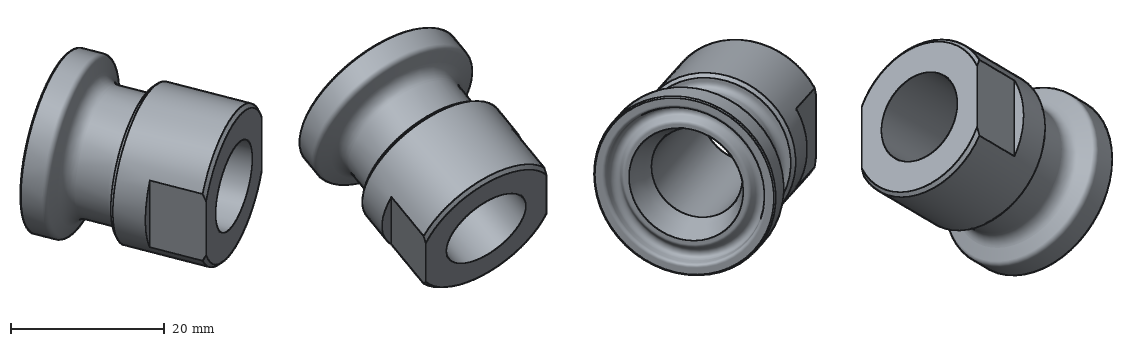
import cadquery as cq
import math

length = 25.0
flange_radius = 12.5
neck_radius = 9.0
body_radius = 11.0
body_start = 12.0
body_chamfer = 0.5
neck_end_fillet = 1.0

rim_end = 3.25
rim_front_chamfer = 0.2
rim_back_fillet = 0.75
taper_angle = math.radians(20)
taper_fillet = 2.0
taper_fillet_end = 6.4

outer_edge_radius = 11.35
outer_edge_fillet = 0.5
bottom_radius = 9.95
bottom_depth = 1.0
bottom_fillet = 0.8
lip_outer_radius = 8.4
lip_fillet = 0.6
lip_recess = 0.7

entry_radius = 7.85
bore_radius = 6.25
entry_depth = 5.0

flat_start = 17.08
flat_offset = 9.5


def arc_point(center, radius, angle):
    """Point on a circle, with the angle measured from +X."""
    return (center[0] + radius * math.cos(angle), center[1] + radius * math.sin(angle))


def cross_tangent_angle(start, start_radius, end, end_radius, side):
    """Normal angle, at the start circle, of the line that crosses between two circles."""
    across = end[0] - start[0]
    up = end[1] - start[1]
    lean = math.acos((start_radius + end_radius) / math.hypot(across, up))
    return math.atan2(up, across) + side * lean


def make_outside():
    half_turn = math.pi
    rim_center = (rim_end, flange_radius - rim_back_fillet)
    rim_middle_angle = (math.pi / 2 + taper_angle) / 2
    fillet_center = (taper_fillet_end, neck_radius + taper_fillet)
    fillet_start_angle = half_turn + taper_angle
    fillet_middle_angle = (fillet_start_angle + 1.5 * half_turn) / 2
    neck_end = body_start - neck_end_fillet
    end_center = (neck_end, neck_radius + neck_end_fillet)
    profile = (
        cq.Workplane("XY")
        .moveTo(0, 0)
        .lineTo(0, flange_radius - rim_front_chamfer)
        .lineTo(rim_front_chamfer, flange_radius)
        .lineTo(rim_end, flange_radius)
        .threePointArc(
            arc_point(rim_center, rim_back_fillet, rim_middle_angle),
            arc_point(rim_center, rim_back_fillet, taper_angle),
        )
        .lineTo(*arc_point(fillet_center, taper_fillet, fillet_start_angle))
        .threePointArc(
            arc_point(fillet_center, taper_fillet, fillet_middle_angle),
            (taper_fillet_end, neck_radius),
        )
        .lineTo(neck_end, neck_radius)
        .threePointArc(
            arc_point(end_center, neck_end_fillet, -math.pi / 4),
            (body_start, neck_radius + neck_end_fillet),
        )
        .lineTo(body_start, body_radius - body_chamfer)
        .lineTo(body_start + body_chamfer, body_radius)
        .lineTo(length - body_chamfer, body_radius)
        .lineTo(length, body_radius - body_chamfer)
        .lineTo(length, 0)
        .close()
    )
    return profile.revolve(360, (0, 0, 0), (1, 0, 0))


def make_bore():
    profile = (
        cq.Workplane("XY")
        .lineTo(0, entry_radius)
        .lineTo(lip_recess, entry_radius)
        .lineTo(entry_depth, bore_radius)
        .lineTo(length, bore_radius)
        .lineTo(length, 0)
        .close()
    )
    return profile.revolve(360, (0, 0, 0), (1, 0, 0))


def make_groove():
    half_turn = math.pi
    lip_center = (lip_recess + lip_fillet, lip_outer_radius)
    bottom_center = (bottom_depth, bottom_radius)
    edge_center = (outer_edge_fillet, outer_edge_radius)
    inner_angle = cross_tangent_angle(lip_center, lip_fillet, bottom_center, bottom_fillet, 1)
    outer_angle = cross_tangent_angle(bottom_center, bottom_fillet, edge_center, outer_edge_fillet, -1)
    profile = (
        cq.Workplane("XY")
        .moveTo(0, entry_radius)
        .lineTo(lip_recess, entry_radius)
        .lineTo(lip_recess, lip_outer_radius)
        .threePointArc(
            arc_point(lip_center, lip_fillet, (half_turn + inner_angle) / 2),
            arc_point(lip_center, lip_fillet, inner_angle),
        )
        .lineTo(*arc_point(bottom_center, bottom_fillet, inner_angle - half_turn))
        .threePointArc(
            arc_point(bottom_center, bottom_fillet, (inner_angle - half_turn + outer_angle) / 2),
            arc_point(bottom_center, bottom_fillet, outer_angle),
        )
        .lineTo(*arc_point(edge_center, outer_edge_fillet, outer_angle + half_turn))
        .threePointArc(
            arc_point(edge_center, outer_edge_fillet, half_turn + outer_angle / 2),
            (0, outer_edge_radius),
        )
        .close()
    )
    return profile.revolve(360, (0, 0, 0), (1, 0, 0))


def make_flat_cutter(side):
    """Block that removes everything beyond one wrench flat; side is -1 or +1 along Y."""
    flat_length = length - flat_start
    return cq.Workplane("XY").box(flat_length, body_radius, 2 * body_radius).translate(
        (flat_start + flat_length / 2, side * (flat_offset + body_radius / 2), 0)
    )


result = make_outside().cut(make_bore()).cut(make_groove())
for side in (-1, 1):
    result = result.cut(make_flat_cutter(side))